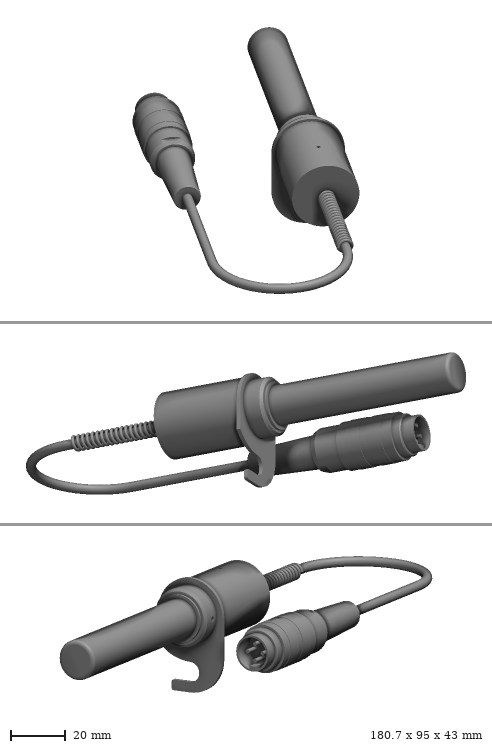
import cadquery as cq
import math

AXIS_ANGLE = -13.1
CONNECTOR_OFFSET = 50.0

COLLAR_FRONT = 75.5
BRACKET_FRONT = 83.0
BRACKET_THICKNESS = 1.5
SHOULDER = BRACKET_FRONT + BRACKET_THICKNESS
HOUSING_LENGTH = 35.0
HOUSING_BACK = SHOULDER + HOUSING_LENGTH

ROD_DIAMETER = 15.0
ROD_TIP_FILLET = 1.5
CORE_DIAMETER = 18.0
CORE_PROTRUSION = 1.0
CORE_FRONT = COLLAR_FRONT - CORE_PROTRUSION
CORE_BACK_DIAMETER = 20.0

COLLAR_DIAMETER = 22.0
COLLAR_CHAMFER = 1.0
HOUSING_DIAMETER = 25.0
HOUSING_HOLE_DIAMETER = 1.5
COLLAR_HOLE_DIAMETER = 2.0
HOUSING_HOLE_STATION = HOUSING_BACK - 15.0
COLLAR_HOLE_STATION = BRACKET_FRONT - 2.7

BRACKET_RADIUS = 13.5
BRACKET_ARM_DROP = 16.0
BRACKET_LOBE_RADIUS = 18.0
HOOK_ARM_WIDTH = 4.0
HOOK_ARM_REACH = 8.0
HOOK_TIP_FILLET = 1.0

CABLE_DIAMETER = 3.7
BEND_STATION = 162.35
SPRING_LENGTH = 40.7
SPRING_DIAMETER = 6.3
SPRING_WIRE = 1.2
SPRING_PITCH = 2.0

CONNECTOR_FRONT = 42.0
TIP_DIAMETER = 13.5
TIP_LENGTH = 4.7
NOSE_DIAMETER = 16.0
NOSE_CHAMFER = 0.4
SLEEVE_START = 8.1
SLEEVE_DIAMETER = 18.15
GRIP_DIAMETER = 18.5
GRIP_LENGTH = 5.9
GRIP_STARTS = (12.2, 21.2)
SLEEVE_END = 30.7
BARREL_DIAMETER = 16.8
BARREL_TAPER_START = 40.0
BARREL_END = 42.0
BARREL_END_DIAMETER = 15.0
BOOT_START_DIAMETER = 12.9
BOOT_END_DIAMETER = 10.2
BOOT_END = 69.9
BOOT_CHAMFER = 0.5
FLAT_SPACING = 15.0
FLAT_LENGTH = 4.2
SOCKET_DIAMETER = 12.0
SOCKET_DEPTH = 8.0
PIN_DIAMETER = 1.5
PIN_LENGTH = 6.0
PIN_COUNT = 4
PIN_CIRCLE_DIAMETER = 6.3
KEY_WIDTH = 2.25
KEY_HEIGHT = 1.2


def turned(stations):
    """Solid of revolution about X from (station, diameter) pairs."""
    profile = [(stations[0][0], 0)]
    profile += [(x, diameter / 2) for x, diameter in stations]
    profile.append((stations[-1][0], 0))
    return cq.Workplane("XY").polyline(profile).close().revolve(360, (0, 0), (1, 0))


def rod_along_x(x_start, length, diameter, y=0, z=0):
    return cq.Workplane("YZ", origin=(x_start, y, z)).circle(diameter / 2).extrude(length)


def make_core():
    """Stepped rear part of the probe, which fills the housing."""
    return turned([
        (CORE_FRONT, CORE_DIAMETER),
        (SHOULDER, CORE_DIAMETER),
        (SHOULDER, CORE_BACK_DIAMETER),
        (HOUSING_BACK, CORE_BACK_DIAMETER),
    ])


def make_probe():
    rod = rod_along_x(0, CORE_FRONT, ROD_DIAMETER).faces("<X").edges().fillet(ROD_TIP_FILLET)
    return rod.union(make_core())


def make_housing():
    shell = turned([
        (COLLAR_FRONT, COLLAR_DIAMETER - 2 * COLLAR_CHAMFER),
        (COLLAR_FRONT + COLLAR_CHAMFER, COLLAR_DIAMETER),
        (SHOULDER, COLLAR_DIAMETER),
        (SHOULDER, HOUSING_DIAMETER),
        (HOUSING_BACK, HOUSING_DIAMETER),
    ])
    top_hole = (
        cq.Workplane("XY").center(HOUSING_HOLE_STATION, 0)
        .circle(HOUSING_HOLE_DIAMETER / 2).extrude(HOUSING_DIAMETER)
    )
    side_hole = (
        cq.Workplane("XZ").center(COLLAR_HOLE_STATION, 0)
        .circle(COLLAR_HOLE_DIAMETER / 2).extrude(HOUSING_DIAMETER)
    )
    return shell.cut(make_core()).cut(top_hole).cut(side_hole)


def make_bracket():
    """Plate around the collar, with a hook below it."""
    diagonal = math.sqrt(0.5)
    bottom = -BRACKET_ARM_DROP - BRACKET_RADIUS
    slot_bottom = bottom + HOOK_ARM_WIDTH
    slot_top = -BRACKET_LOBE_RADIUS
    slot_radius = (slot_top - slot_bottom) / 2
    lobe_corner_z = -math.sqrt(BRACKET_LOBE_RADIUS**2 - BRACKET_RADIUS**2)
    lobe_angle = math.atan2(BRACKET_RADIUS, -lobe_corner_z) / 2
    lobe_middle = (
        BRACKET_LOBE_RADIUS * math.sin(lobe_angle),
        -BRACKET_LOBE_RADIUS * math.cos(lobe_angle),
    )
    heel_middle = (
        -BRACKET_RADIUS * diagonal,
        -BRACKET_ARM_DROP - BRACKET_RADIUS * diagonal,
    )
    plate = (
        cq.Workplane("YZ", origin=(BRACKET_FRONT, 0, 0))
        .moveTo(BRACKET_RADIUS, 0)
        .threePointArc((0, BRACKET_RADIUS), (-BRACKET_RADIUS, 0))
        .lineTo(-BRACKET_RADIUS, -BRACKET_ARM_DROP)
        .threePointArc(heel_middle, (0, bottom))
        .lineTo(HOOK_ARM_REACH, bottom)
        .lineTo(HOOK_ARM_REACH, slot_bottom)
        .lineTo(0, slot_bottom)
        .threePointArc((-slot_radius, slot_bottom + slot_radius), (0, slot_top))
        .threePointArc(lobe_middle, (BRACKET_RADIUS, lobe_corner_z))
        .close()
        .extrude(BRACKET_THICKNESS)
    )
    margin = 1.0
    hook_tip = cq.selectors.BoxSelector(
        (BRACKET_FRONT - margin, HOOK_ARM_REACH - margin, bottom - margin),
        (SHOULDER + margin, HOOK_ARM_REACH + margin, slot_bottom + margin),
    )
    plate = plate.edges("|X").edges(hook_tip).fillet(HOOK_TIP_FILLET)
    return plate.cut(rod_along_x(BRACKET_FRONT, BRACKET_THICKNESS, COLLAR_DIAMETER))


def make_cable():
    """Cable from the back of the probe, round a half circle, to the connector boot."""
    bend_radius = CONNECTOR_OFFSET / 2
    path = (
        cq.Workplane("XY")
        .moveTo(HOUSING_BACK, 0)
        .lineTo(BEND_STATION, 0)
        .threePointArc((BEND_STATION + bend_radius, -bend_radius), (BEND_STATION, -CONNECTOR_OFFSET))
        .lineTo(CONNECTOR_FRONT + BOOT_END, -CONNECTOR_OFFSET)
    )
    section = cq.Workplane("YZ", origin=(HOUSING_BACK, 0, 0)).circle(CABLE_DIAMETER / 2)
    return section.sweep(path)


def make_spring():
    """Coil around the cable, wound along Z and then laid along X."""
    coil_radius = (SPRING_DIAMETER - SPRING_WIRE) / 2
    helix = cq.Wire.makeHelix(SPRING_PITCH, SPRING_LENGTH - SPRING_WIRE, coil_radius)
    wire_section = cq.Workplane("XZ").center(coil_radius, 0).circle(SPRING_WIRE / 2)
    coil = wire_section.sweep(cq.Workplane(obj=helix), isFrenet=True)
    laid_down = coil.rotate((0, 0, 0), (0, 1, 0), 90)
    return laid_down.translate((HOUSING_BACK + SPRING_WIRE / 2, 0, 0))


def make_connector():
    stations = [
        (0, TIP_DIAMETER),
        (TIP_LENGTH, TIP_DIAMETER),
        (TIP_LENGTH, NOSE_DIAMETER - 2 * NOSE_CHAMFER),
        (TIP_LENGTH + NOSE_CHAMFER, NOSE_DIAMETER),
        (SLEEVE_START, NOSE_DIAMETER),
        (SLEEVE_START, SLEEVE_DIAMETER),
    ]
    for grip_start in GRIP_STARTS:
        grip_end = grip_start + GRIP_LENGTH
        stations += [
            (grip_start, SLEEVE_DIAMETER),
            (grip_start, GRIP_DIAMETER),
            (grip_end, GRIP_DIAMETER),
            (grip_end, SLEEVE_DIAMETER),
        ]
    stations += [
        (SLEEVE_END, SLEEVE_DIAMETER),
        (SLEEVE_END, BARREL_DIAMETER),
        (BARREL_TAPER_START, BARREL_DIAMETER),
        (BARREL_END, BARREL_END_DIAMETER),
        (BARREL_END, BOOT_START_DIAMETER),
        (BOOT_END - BOOT_CHAMFER, BOOT_END_DIAMETER),
        (BOOT_END, BOOT_END_DIAMETER - 2 * BOOT_CHAMFER),
    ]
    body = turned(stations)

    flat_centre = BARREL_END - FLAT_LENGTH / 2
    for side in (-1, 1):
        cutter = cq.Workplane("XY").box(FLAT_LENGTH, BARREL_DIAMETER, BARREL_DIAMETER)
        cutter_height = side * (FLAT_SPACING + BARREL_DIAMETER) / 2
        body = body.cut(cutter.translate((flat_centre, 0, cutter_height)))

    socket = rod_along_x(0, SOCKET_DEPTH, SOCKET_DIAMETER)
    key = (
        cq.Workplane("XY")
        .box(SOCKET_DEPTH, KEY_WIDTH, 2 * KEY_HEIGHT)
        .translate((SOCKET_DEPTH / 2, 0, -SOCKET_DIAMETER / 2))
    )
    body = body.cut(socket.cut(key))

    for index in range(PIN_COUNT):
        angle = 2 * math.pi * index / PIN_COUNT
        pin_y = PIN_CIRCLE_DIAMETER / 2 * math.cos(angle)
        pin_z = PIN_CIRCLE_DIAMETER / 2 * math.sin(angle)
        body = body.union(rod_along_x(SOCKET_DEPTH - PIN_LENGTH, PIN_LENGTH, PIN_DIAMETER, pin_y, pin_z))
    return body.translate((CONNECTOR_FRONT, -CONNECTOR_OFFSET, 0))


def placed(body):
    """The body's solid, turned into its final position."""
    return body.solids().rotate((0, 0, 0), (0, 0, 1), AXIS_ANGLE)


probe = placed(make_probe())
housing = placed(make_housing())
bracket = placed(make_bracket())
cable = placed(make_cable())
spring = placed(make_spring())
connector = placed(make_connector())

result = cq.Compound.makeCompound([
    probe.val(),
    housing.val(),
    bracket.val(),
    cable.val(),
    spring.val(),
    connector.val(),
])